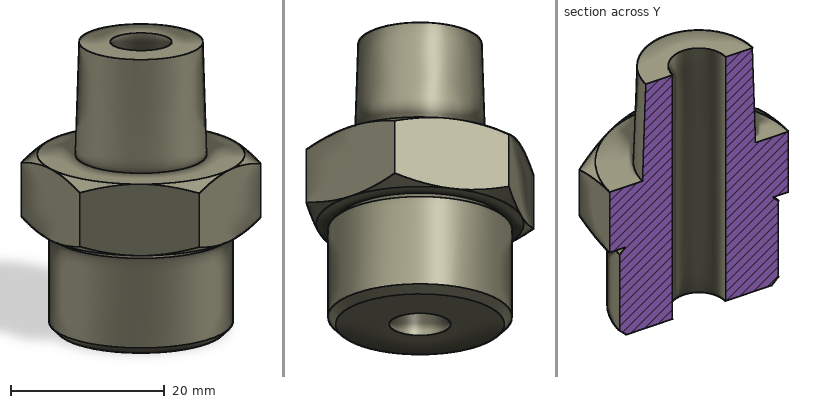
import cadquery as cq
import math

total_height = 39.0
hex_bottom = 14.0
hex_top = 23.7

hex_across_flats = 27.0
hex_across_corners = hex_across_flats / math.cos(math.radians(30))
chamfer_angle = 30.0

body_diameter = 24.0
body_end_chamfer = 1.0
neck_chamfer = 0.8

taper_base_diameter = 17.12
taper_top_diameter = 16.15

bore_diameter = 8.0


def make_body():
    """Lower spigot, chamfered at its free end and under the hexagon."""
    return (
        cq.Workplane("XY")
        .circle(body_diameter / 2)
        .extrude(hex_bottom)
        .faces("<Z")
        .chamfer(body_end_chamfer)
        .faces(">Z")
        .chamfer(neck_chamfer)
    )


def make_hexagon():
    """Hexagon whose corners are trimmed by a cone at the top and bottom."""
    flat_radius = hex_across_flats / 2
    corner_radius = hex_across_corners / 2
    chamfer_drop = (corner_radius - flat_radius) * math.tan(math.radians(chamfer_angle))
    prism = (
        cq.Workplane("XY")
        .workplane(offset=hex_bottom)
        .polygon(6, hex_across_corners)
        .extrude(hex_top - hex_bottom)
        .rotate((0, 0, 0), (0, 0, 1), 90)
    )
    trimming_disc = (
        cq.Workplane("XZ")
        .moveTo(0, hex_bottom)
        .lineTo(flat_radius, hex_bottom)
        .lineTo(corner_radius, hex_bottom + chamfer_drop)
        .lineTo(corner_radius, hex_top - chamfer_drop)
        .lineTo(flat_radius, hex_top)
        .lineTo(0, hex_top)
        .close()
        .revolve(360, (0, 0, 0), (0, 1, 0))
    )
    return prism.intersect(trimming_disc)


def make_tapered_spigot():
    """Upper spigot, narrowing evenly towards the top face."""
    return (
        cq.Workplane("XY")
        .workplane(offset=hex_top)
        .circle(taper_base_diameter / 2)
        .workplane(offset=total_height - hex_top)
        .circle(taper_top_diameter / 2)
        .loft()
    )


bore = cq.Workplane("XY").circle(bore_diameter / 2).extrude(total_height)

result = make_body().union(make_hexagon()).union(make_tapered_spigot()).cut(bore)